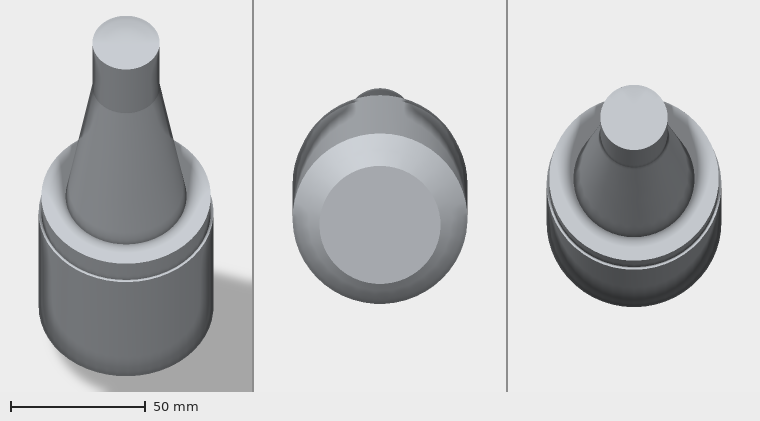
import cadquery as cq

nose_diameter = 45.0
body_diameter = 65.0
collar_diameter = 63.0
taper_base_diameter = 45.0
shank_diameter = 25.0

nose_height = 10.4
body_height = 58.2
collar_height = 10.0
taper_height = 67.8
shank_height = 27.0

body_bottom = nose_height
body_top = body_bottom + body_height
collar_top = body_top + collar_height
taper_top = collar_top + taper_height
shank_top = taper_top + shank_height

half_profile = [
    (0, 0),
    (nose_diameter / 2, 0),
    (body_diameter / 2, body_bottom),
    (body_diameter / 2, body_top),
    (collar_diameter / 2, body_top),
    (collar_diameter / 2, collar_top),
    (taper_base_diameter / 2, collar_top),
    (shank_diameter / 2, taper_top),
    (shank_diameter / 2, shank_top),
    (0, shank_top),
]

result = cq.Workplane("XZ").polyline(half_profile).close().revolve(360, (0, 0, 0), (0, 1, 0))